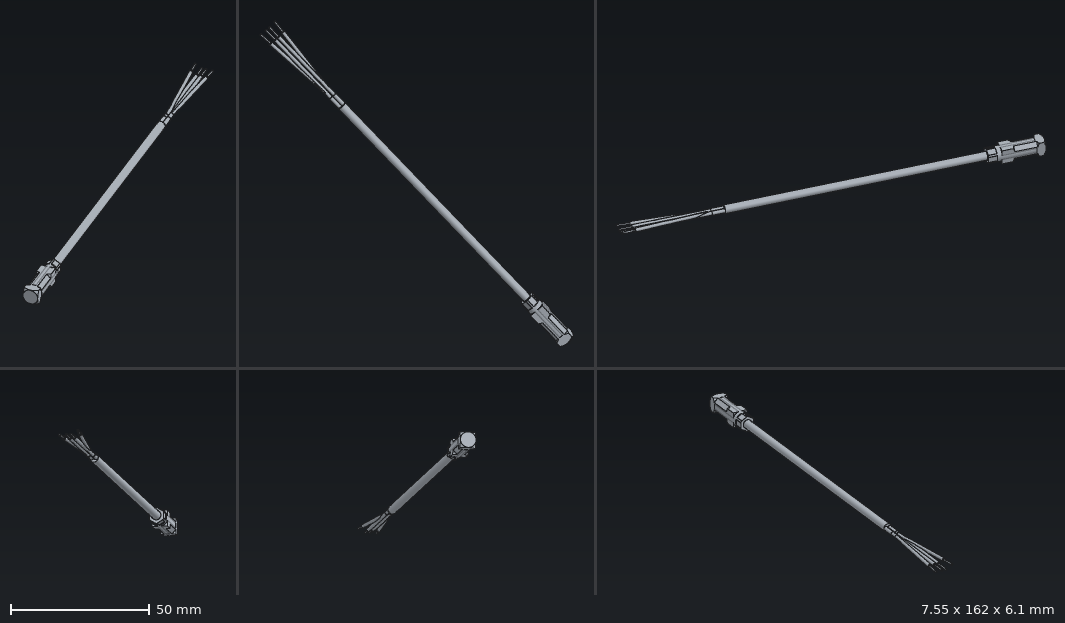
import cadquery as cq
import math

CORNER_CUT_START = 2.7
BARREL_START = 3.6
CORNER_CUT_END = 12.6
SQUARE_END = 16.9
GRIP_START = 18.7
HOUSING_LENGTH = 22.0
JACKET_END = HOUSING_LENGTH + 100.0
CORE_END = JACKET_END + 5.0
UPPER_LEAD_START = CORE_END + 1.5
LEAD_TIP = 161.99

BARREL_DIAMETER = 6.1
SQUARE_WIDTH = 5.82
SQUARE_HEIGHT = 5.96
CORNER_CUT = 1.5
CORNER_CUT_RAMP = 0.6
NOSE_FACE_DIAMETER = 5.8
NOSE_CONE_ANGLE = 35.0
GRIP_POCKETS = 6
GRIP_POCKET_WIDTH = 2.3
GRIP_FLOOR_RADIUS = 2.7

JACKET_DIAMETER = 3.4
CORE_STRAND_DIAMETER = 1.7
LEAD_DIAMETER = 1.5
LEAD_PITCH = 1.65
CONDUCTOR_DIAMETER = 0.75
STRIPPED_LENGTH = 5.0

UPPER_LEAD_BASE = (-0.45, 0.1)
UPPER_LEAD_TIP = (-3.4, 1.3)
SIDE_LEAD_BASE = (0.6, 0.0)
SIDE_LEAD_TIP = (3.4, 0.0)


def section_at(y):
    """Workplane across the cable axis with local axes along X and Z; +Y is a negative extrusion."""
    return cq.Workplane(cq.Plane(origin=(0, y, 0), xDir=(1, 0, 0), normal=(0, -1, 0)))


def cylinder(diameter, start, end):
    return section_at(start).circle(diameter / 2).extrude(start - end)


def nose_envelope():
    """Solid of revolution with a flat round face and a cone that trims the front corners of the square."""
    face_radius = NOSE_FACE_DIAMETER / 2
    outer_radius = SQUARE_WIDTH
    cone_depth = (outer_radius - face_radius) * math.tan(math.radians(NOSE_CONE_ANGLE))
    return (
        cq.Workplane("XY")
        .polyline([
            (0, 0),
            (face_radius, 0),
            (outer_radius, cone_depth),
            (outer_radius, SQUARE_END),
            (0, SQUARE_END),
        ])
        .close()
        .revolve(360, (0, 0, 0), (0, 1, 0))
    )


def corner_cut(angle):
    """Bar that bevels the long corner of the square at the given angle, with sloped ends."""
    corner_radius = (SQUARE_WIDTH + SQUARE_HEIGHT) / 2 / math.sqrt(2)
    floor_radius = corner_radius - CORNER_CUT / math.sqrt(2)
    profile = cq.Workplane("XY").polyline([
        (corner_radius, CORNER_CUT_START),
        (corner_radius, CORNER_CUT_END),
        (floor_radius, CORNER_CUT_END - CORNER_CUT_RAMP),
        (floor_radius, CORNER_CUT_START + CORNER_CUT_RAMP),
    ])
    bar = profile.close().extrude(SQUARE_WIDTH / 2, both=True)
    return bar.rotate((0, 0, 0), (0, 1, 0), angle)


def grip_pocket(angle):
    """Flat-bottomed flute in the rear of the barrel, open at the back."""
    flute = section_at(GRIP_START).center(GRIP_FLOOR_RADIUS + BARREL_DIAMETER / 2, 0)
    flute = flute.rect(BARREL_DIAMETER, GRIP_POCKET_WIDTH).extrude(GRIP_START - HOUSING_LENGTH)
    return flute.rotate((0, 0, 0), (0, 1, 0), angle)


def make_housing():
    """Square block with bevelled corners on a round barrel that bulges through its four sides."""
    square = section_at(0).rect(SQUARE_WIDTH, SQUARE_HEIGHT).extrude(-SQUARE_END)
    square = square.intersect(nose_envelope())
    for angle in (45, 135, 225, 315):
        square = square.cut(corner_cut(angle))
    barrel = cylinder(BARREL_DIAMETER, BARREL_START, HOUSING_LENGTH)
    for index in range(GRIP_POCKETS):
        barrel = barrel.cut(grip_pocket(index * 360 / GRIP_POCKETS))
    return square.union(barrel)


def make_core():
    """Two round strands merged along their length."""
    left_strand = cylinder(CORE_STRAND_DIAMETER, JACKET_END, CORE_END).translate((-LEAD_PITCH / 2, 0, 0))
    return left_strand.union(left_strand.translate((LEAD_PITCH, 0, 0)))


def make_lead(start_y, base, tip):
    """Insulated lead with a bare conductor at its tip, straight from base to tip."""
    start = cq.Vector(base[0], start_y, base[1])
    path = cq.Vector(tip[0], LEAD_TIP, tip[1]) - start
    axis = cq.Plane(origin=start, xDir=(0, 0, 1), normal=path)
    conductor = cq.Workplane(axis).circle(CONDUCTOR_DIAMETER / 2).extrude(path.Length)
    insulation = cq.Workplane(axis).circle(LEAD_DIAMETER / 2).extrude(path.Length - STRIPPED_LENGTH)
    return insulation.union(conductor)


def valley_block(top_z):
    """Block between the axes of the straight leads, from their underside up to top_z."""
    bottom_z = -LEAD_DIAMETER / 2
    block = section_at(JACKET_END).center(0, (top_z + bottom_z) / 2)
    return block.rect(LEAD_PITCH, top_z - bottom_z).extrude(JACKET_END - LEAD_TIP)


housing = make_housing()
jacket = cylinder(JACKET_DIAMETER, HOUSING_LENGTH, JACKET_END)
core = make_core()
straight_axes = [(-LEAD_PITCH / 2, 0), (LEAD_PITCH / 2, 0)]
left_lead, right_lead = [make_lead(CORE_END, axis, axis) for axis in straight_axes]

upper_lead = make_lead(UPPER_LEAD_START, UPPER_LEAD_BASE, UPPER_LEAD_TIP)
upper_lead = upper_lead.cut(left_lead).cut(right_lead).cut(valley_block(0))
side_lead = make_lead(CORE_END, SIDE_LEAD_BASE, SIDE_LEAD_TIP)
side_lead = side_lead.cut(right_lead).cut(valley_block(LEAD_DIAMETER / 2)).cut(core)

bodies = [housing, jacket, core, left_lead, right_lead, upper_lead, side_lead]
result = cq.Compound.makeCompound([body.solids().val() for body in bodies])